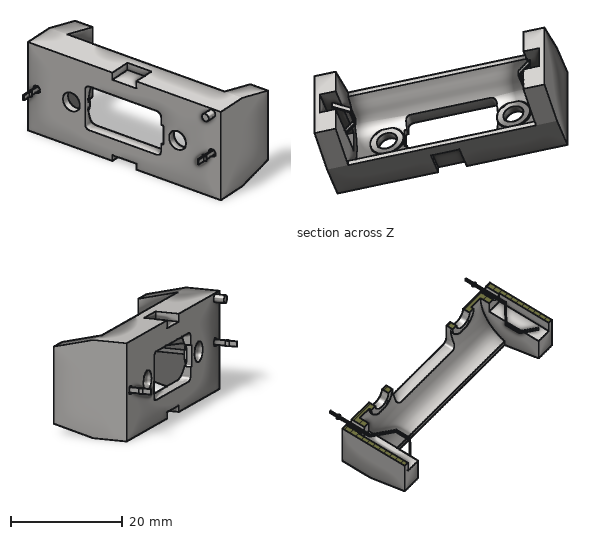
import cadquery as cq
import math

LENGTH = 43.3
DEPTH = 14.25
HEIGHT = 18.25
BASE_DEPTH = 6.5
BACK_HEIGHT = 14.3
ARM_WIDTH = 4.0

TROUGH_RADIUS = 8.65
TROUGH_FLOOR = 1.0

CONTACT_INSET = 1.95
PASSAGE_DIAMETER = 1.5
POCKET_HEIGHT = 4.5
POCKET_DEPTH = 3.0
POCKET_FLOOR = 3.0

SCREW_DIAMETER = 3.75
SCREW_SPACING = 23.83
SCREW_BOSS_DIAMETER = 6.25
SCREW_BOSS_TOP = 1.5

WINDOW_LEFT = 12.82
WINDOW_WIDTH = 17.05
WINDOW_HEIGHT = 9.0
WINDOW_RADIUS = 1.0
WINDOW_NOTCH_WIDTH = 0.5
WINDOW_NOTCH_HEIGHT = 4.0
WINDOW_NOTCH_RADIUS = 0.3

SIDE_NOTCH_WIDTH = 5.37
SIDE_NOTCH_LENGTH = 4.55
TOP_NOTCH_DEPTH = 1.47
BOTTOM_NOTCH_DEPTH = 1.2
PEG_DIAMETER = 1.5
PEG_LENGTH = 2.0
PEG_INSET = 2.0
PEG_DROP = 0.95

STRIP_THICKNESS = 0.25
STRIP_WIDTH = 1.0
STRIP_LIFT = 0.05
EYE_DIAMETER = 0.82
EYE_HOLE_DIAMETER = 0.4
EYE_REACH = 2.05
PIN_REACH = 3.95
RIGHT_CONTACT_SHIFT = 0.3
BUMP_CENTER = 9.7
BUMP_HALF_LENGTH = 1.55
BUMP_INSET = 5.7
BUMP_SLOPE = 39.0
TOP_END_INSET = 3.0


def y_cylinder(diameter, x, z, y_start, y_end):
    """Cylinder along Y between two Y positions."""
    plane = cq.Workplane("XZ", origin=(x, y_start, z))
    return plane.circle(diameter / 2).extrude(y_start - y_end)


def box(x_min, x_max, y_min, y_max, z_min, z_max):
    """Box given by its limits along each axis."""
    size = (x_max - x_min, y_max - y_min, z_max - z_min)
    return cq.Workplane("XY").box(*size, centered=False).translate((x_min, y_min, z_min))


def mirrored(shape):
    """The same shape at the opposite end of the housing."""
    return shape.mirror("YZ", (LENGTH / 2, 0, 0))


def make_block():
    """Block with a tapered back."""
    profile = [
        (0, -HEIGHT / 2),
        (BASE_DEPTH, -HEIGHT / 2),
        (DEPTH, -BACK_HEIGHT / 2),
        (DEPTH, BACK_HEIGHT / 2),
        (BASE_DEPTH, HEIGHT / 2),
        (0, HEIGHT / 2),
    ]
    return cq.Workplane("YZ").polyline(profile).close().extrude(LENGTH)


def make_battery_space():
    """Opening between the arms together with the round trough below it."""
    x_min = ARM_WIDTH
    x_max = LENGTH - ARM_WIDTH
    opening = box(x_min, x_max, BASE_DEPTH, DEPTH, -HEIGHT / 2, HEIGHT / 2)
    axis_y = TROUGH_FLOOR + TROUGH_RADIUS
    trough = cq.Workplane("YZ", origin=(x_min, axis_y, 0))
    trough = trough.circle(TROUGH_RADIUS).extrude(x_max - x_min)
    return opening.union(trough)


def make_contact_passage():
    """Pin hole from the mounting face and the pocket that it opens into in the left arm."""
    hole = y_cylinder(PASSAGE_DIAMETER, CONTACT_INSET, 0, 0, DEPTH)
    pocket = box(
        ARM_WIDTH - POCKET_DEPTH, ARM_WIDTH, POCKET_FLOOR, DEPTH, -POCKET_HEIGHT / 2, POCKET_HEIGHT / 2
    )
    return hole.union(pocket)


def make_window():
    """Rounded window with a shallow notch in its right side."""
    right = WINDOW_LEFT + WINDOW_WIDTH
    half_height = WINDOW_HEIGHT / 2
    window = box(WINDOW_LEFT, right, 0, BASE_DEPTH, -half_height, half_height)
    window = window.edges("|Y").fillet(WINDOW_RADIUS)
    half_notch = WINDOW_NOTCH_HEIGHT / 2
    notch = box(right - WINDOW_RADIUS, right + WINDOW_NOTCH_WIDTH, 0, BASE_DEPTH, -half_notch, half_notch)
    notch = notch.edges("|Y and >X").fillet(WINDOW_NOTCH_RADIUS)
    return window.union(notch)


def make_side_notches():
    """Notches in the top and bottom edges of the mounting face."""
    x_min = (LENGTH - SIDE_NOTCH_WIDTH) / 2
    x_max = x_min + SIDE_NOTCH_WIDTH
    top = box(x_min, x_max, 0, SIDE_NOTCH_LENGTH, HEIGHT / 2 - TOP_NOTCH_DEPTH, HEIGHT / 2)
    bottom = box(x_min, x_max, 0, SIDE_NOTCH_LENGTH, -HEIGHT / 2, BOTTOM_NOTCH_DEPTH - HEIGHT / 2)
    return top.union(bottom)


def make_housing():
    """Battery housing with its locating peg."""
    passage = make_contact_passage()
    housing = make_block().cut(make_battery_space()).cut(passage).cut(mirrored(passage))
    for side in (-1, 1):
        x = LENGTH / 2 + side * SCREW_SPACING / 2
        housing = housing.union(y_cylinder(SCREW_BOSS_DIAMETER, x, 0, 0, SCREW_BOSS_TOP))
        housing = housing.cut(y_cylinder(SCREW_DIAMETER, x, 0, 0, BASE_DEPTH))
    housing = housing.cut(make_window()).cut(make_side_notches())
    peg = y_cylinder(PEG_DIAMETER, LENGTH - PEG_INSET, HEIGHT / 2 - PEG_DROP, -PEG_LENGTH, 0)
    return housing.union(peg)


def make_contact():
    """Bent strip for the left arm, with an eye in its pin."""
    rise = math.tan(math.radians(BUMP_SLOPE))
    bump_low = BUMP_CENTER - BUMP_HALF_LENGTH
    bump_high = BUMP_CENTER + BUMP_HALF_LENGTH
    center_line = [
        (CONTACT_INSET, -PIN_REACH),
        (CONTACT_INSET, bump_low - rise * (BUMP_INSET - CONTACT_INSET)),
        (BUMP_INSET, bump_low),
        (BUMP_INSET, bump_high),
        (TOP_END_INSET, bump_high + rise * (BUMP_INSET - TOP_END_INSET)),
    ]
    path = cq.Workplane("XY", origin=(0, 0, STRIP_LIFT)).polyline(center_line)
    start = cq.Workplane("XZ", origin=(CONTACT_INSET, -PIN_REACH, STRIP_LIFT))
    strip = start.rect(STRIP_THICKNESS, STRIP_WIDTH).sweep(path, transition="right")
    eye_base = cq.Workplane("XY", origin=(CONTACT_INSET, -EYE_REACH, STRIP_LIFT - STRIP_WIDTH / 2))
    eye = eye_base.circle(EYE_DIAMETER / 2).extrude(STRIP_WIDTH)
    eye_hole = eye_base.circle(EYE_HOLE_DIAMETER / 2).extrude(STRIP_WIDTH)
    return strip.union(eye).cut(eye_hole)


housing = make_housing().solids()
left_contact = make_contact().solids()
right_contact = mirrored(left_contact).translate((0, -RIGHT_CONTACT_SHIFT, 0)).solids()

result = cq.Compound.makeCompound([housing.val(), left_contact.val(), right_contact.val()])